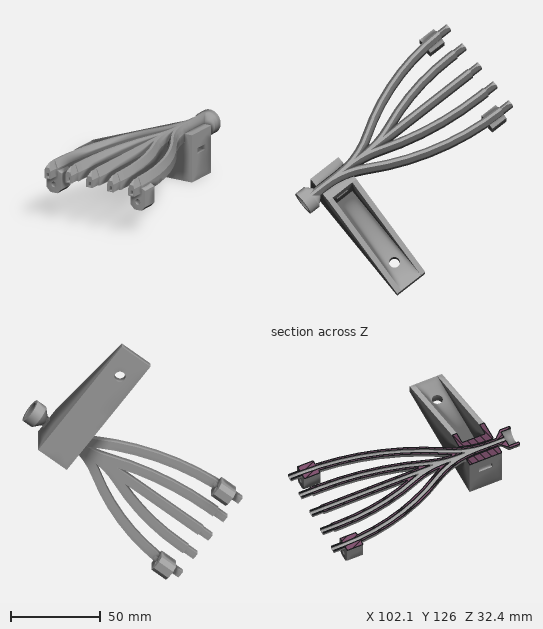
import cadquery as cq
import math

total_length = 126.0
total_height = 32.4

socket_diameter = 14.0
socket_bore = 10.2
socket_depth = 6.0
cone_length = 4.5
trunk_overlap = 0.9

duct_width = 5.0
roof_width = 1.5
channel_width = 2.3
channel_height = 2.8

arm_pitch = 13.9
tip_length = 6.8
tip_inset = 0.5
tip_chamfer = 2.5
first_branch_y = 111.0
branch_spacing = 10.0
branch_radius = 50.0
inner_straight = 4.5
outer_straight = 0.0

lug_width = 9.6
lug_length = 10.0
lug_hole = 3.3
lug_hole_drop = 7.4
lug_chamfer = 2.5
lug_roof_rise = 2.5
gusset_size = 1.5
gusset_width = 2.3

bracket_front_y = 94.2
bracket_width = 20.0
bracket_left_x = -69.5
block_length = 16.1
base_thickness = 5.0
side_wall = 3.0
screw_hole = 6.0
screw_from_end = 15.0
slot_width = 8.1
slot_height = 3.3
slot_z = 17.0
groove_clearance = 0.4

duct_axis_z = total_height - socket_diameter / 2
duct_bottom_z = duct_axis_z - duct_width / 2
duct_shoulder_z = duct_axis_z + duct_width / 2
socket_back_y = total_length - socket_depth
trunk_end_y = socket_back_y + trunk_overlap
bracket_middle_y = bracket_front_y + bracket_width / 2

arms = [
    (-2 * arm_pitch, first_branch_y, outer_straight),
    (2 * arm_pitch, first_branch_y - branch_spacing, outer_straight),
    (-arm_pitch, first_branch_y - 2 * branch_spacing, inner_straight),
    (arm_pitch, first_branch_y - 3 * branch_spacing, inner_straight),
]
outlet_xs = [i * arm_pitch for i in range(-2, 3)]
lug_xs = [outlet_xs[0], outlet_xs[-1]]


def section_plane(x, y):
    """Plane across a duct at (x, y), its local X and Y along global X and Z, normal -Y."""
    return cq.Workplane("XZ", origin=(x, y, 0))


def duct_section(plane, inset=0.0):
    """Square duct with a tapering roof; the inset narrows it and lifts its underside."""
    half = duct_width / 2 - inset
    half_roof = roof_width / 2 - inset
    bottom = duct_bottom_z + inset
    return plane.polyline([
        (-half, bottom),
        (half, bottom),
        (half, duct_shoulder_z),
        (half_roof, total_height),
        (-half_roof, total_height),
        (-half, duct_shoulder_z),
    ]).close()


def channel_section(plane):
    return plane.center(0, duct_axis_z).rect(channel_width, channel_height)


def groove_section(plane):
    """Duct width and underside plus clearance, open upward."""
    bottom = duct_bottom_z - groove_clearance
    height = total_height - bottom
    return plane.center(0, bottom + height / 2).rect(duct_width + 2 * groove_clearance, height)


def arc_middle(start_x, start_y, end_x, end_y):
    """Middle point of an arc that leaves its start parallel to Y."""
    rise_x = end_x - start_x
    rise_y = end_y - start_y
    chord = math.hypot(rise_x, rise_y)
    chord_angle = math.atan(abs(rise_x / rise_y))
    sagitta = chord / 2 * math.tan(chord_angle / 2)
    side = math.copysign(sagitta / chord, rise_x * rise_y)
    return (
        (start_x + end_x) / 2 - side * rise_y,
        (start_y + end_y) / 2 + side * rise_x,
    )


def arm_path(outlet_x, branch_y, straight):
    """S-bend of two tangent arcs from the outlet to the trunk, parallel to Y at both ends.

    The arcs turn equally far, so they meet on the line between the ends of the bend.
    """
    bend_end_y = tip_length + straight
    chord_angle = math.atan(outlet_x / (branch_y - bend_end_y))
    branch_chord = 2 * branch_radius * math.sin(abs(chord_angle))
    meet_x = branch_chord * math.sin(chord_angle)
    meet_y = branch_y - branch_chord * math.cos(chord_angle)

    path = cq.Workplane("XY").moveTo(outlet_x, tip_length)
    if straight > 0:
        path = path.lineTo(outlet_x, bend_end_y)
    outlet_arc_middle = arc_middle(outlet_x, bend_end_y, meet_x, meet_y)
    branch_arc_middle = arc_middle(0, branch_y, meet_x, meet_y)
    return (
        path
        .threePointArc(outlet_arc_middle, (meet_x, meet_y))
        .threePointArc(branch_arc_middle, (0, branch_y))
    )


def branching_network(section):
    """The given section run along the trunk and along every arm, joined."""
    network = section(section_plane(0, trunk_end_y)).extrude(trunk_end_y - tip_length)
    for outlet_x, branch_y, straight in arms:
        path = arm_path(outlet_x, branch_y, straight)
        network = network.union(section(section_plane(outlet_x, tip_length)).sweep(path))
    return network


def make_socket():
    """Inlet cylinder with a cone that narrows to the duct."""
    small_radius = duct_width / 2
    large_radius = socket_diameter / 2
    half_outline = [
        (0, socket_back_y - cone_length),
        (small_radius, socket_back_y - cone_length),
        (large_radius, socket_back_y),
        (large_radius, total_length),
        (0, total_length),
    ]
    socket = cq.Workplane("XY").polyline(half_outline).close().revolve(360, (0, 0), (0, 1))
    return socket.translate((0, 0, duct_axis_z))


def make_tip(x):
    """Stepped-in outlet with its top front edge chamfered."""
    tip = duct_section(section_plane(x, tip_length), tip_inset).extrude(tip_length)
    corner = (
        cq.Workplane("YZ", origin=(x, 0, 0))
        .polyline([(0, total_height), (tip_chamfer, total_height), (0, total_height - tip_chamfer)])
        .close()
        .extrude(duct_width / 2, both=True)
    )
    return tip.cut(corner)


def make_lug(x):
    """Mounting lug with a pitched top, chamfered bottom corners, a hole and a rear gusset."""
    half = lug_width / 2
    hole_z = duct_axis_z - lug_hole_drop
    bottom = hole_z - half
    back_y = tip_length + lug_length
    outline = [
        (-half + lug_chamfer, bottom),
        (half - lug_chamfer, bottom),
        (half, bottom + lug_chamfer),
        (half, duct_axis_z),
        (0, duct_axis_z + lug_roof_rise),
        (-half, duct_axis_z),
        (-half, bottom + lug_chamfer),
    ]
    lug = section_plane(x, back_y).polyline(outline).close().extrude(lug_length)
    gusset = (
        cq.Workplane("YZ", origin=(x, 0, 0))
        .polyline([
            (back_y, duct_axis_z),
            (back_y + gusset_size, duct_axis_z),
            (back_y + gusset_size, duct_bottom_z),
            (back_y, duct_bottom_z - gusset_size),
        ])
        .close()
        .extrude(gusset_width / 2, both=True)
    )
    hole = section_plane(x, back_y).center(0, hole_z).circle(lug_hole / 2).extrude(lug_length)
    return lug.union(gusset).cut(hole)


def make_manifold():
    manifold = branching_network(duct_section).union(make_socket())
    for x in outlet_xs:
        manifold = manifold.union(make_tip(x))
    for x in lug_xs:
        manifold = manifold.union(make_lug(x))

    manifold = manifold.cut(branching_network(channel_section))
    for x in outlet_xs:
        manifold = manifold.cut(channel_section(section_plane(x, tip_length)).extrude(tip_length))
    bore = (
        section_plane(0, total_length)
        .center(0, duct_axis_z)
        .circle(socket_bore / 2)
        .extrude(socket_depth)
    )
    return manifold.cut(bore)


def make_bracket():
    block_left_x = -block_length / 2
    block_right_x = block_length / 2
    top_z = duct_shoulder_z
    side_outline = [
        (bracket_left_x, 0),
        (block_right_x, 0),
        (block_right_x, top_z),
        (block_left_x, top_z),
        (bracket_left_x, base_thickness),
    ]
    bracket = (
        section_plane(0, bracket_front_y + bracket_width)
        .polyline(side_outline)
        .close()
        .extrude(bracket_width)
    )

    pocket = cq.Workplane("XY").box(
        block_left_x - bracket_left_x,
        bracket_width - 2 * side_wall,
        top_z - base_thickness,
        centered=(False, True, False),
    ).translate((bracket_left_x, bracket_middle_y, base_thickness))

    screw = (
        cq.Workplane("XY", origin=(bracket_left_x + screw_from_end, bracket_middle_y, 0))
        .circle(screw_hole / 2)
        .extrude(base_thickness)
    )
    slot = cq.Workplane("XY", origin=(0, bracket_middle_y, slot_z)).box(
        block_length, slot_width, slot_height
    )
    return bracket.cut(pocket).cut(screw).cut(slot).cut(branching_network(groove_section))


manifold = make_manifold()
bracket = make_bracket()

result = cq.Compound.makeCompound([manifold.val(), bracket.val()])